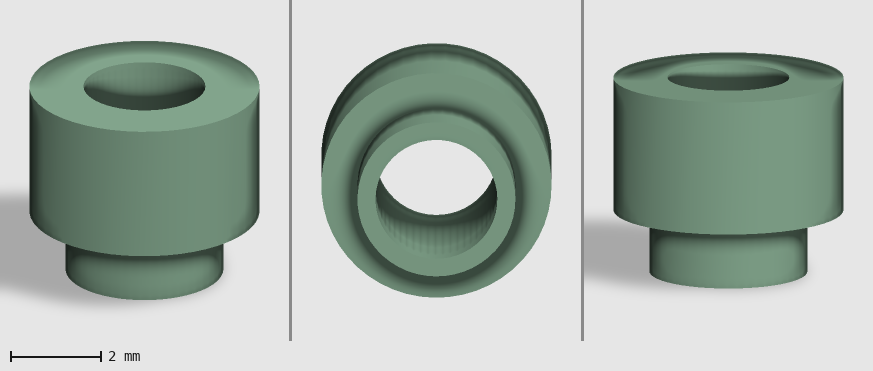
import cadquery as cq

body_diameter = 5.1
spigot_diameter = 3.5
bore_diameter = 2.7
total_height = 4.4
body_height = 3.0
spigot_height = total_height - body_height

spigot = cq.Workplane("XY").circle(spigot_diameter / 2).extrude(spigot_height)

body = (
    cq.Workplane("XY")
    .workplane(offset=spigot_height)
    .circle(body_diameter / 2)
    .extrude(body_height)
)

bore = cq.Workplane("XY").circle(bore_diameter / 2).extrude(total_height)

result = spigot.union(body).cut(bore)